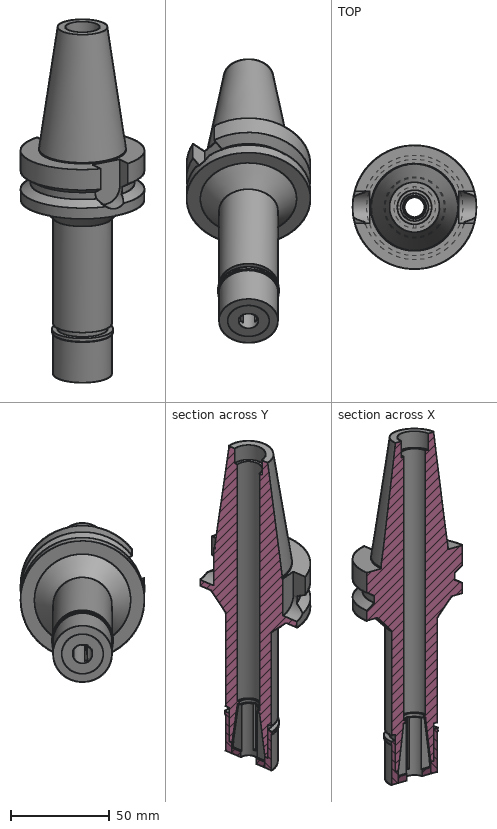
import cadquery as cq
import math

total_length = 185.4
taper_bottom_z = 120.0
flange_top_z = 119.4
flange_bottom_z = 93.0
nut_top_z = 24.0
neck_top_z = 26.9
neck_bottom_z = 6.5

taper_top_radius = 12.7
taper_large_radius = 22.2
relief_radius = 21.9
flange_radius = 31.5
groove_radius = 26.5
flange_cone_radius = 24.5
shank_radius = 15.0
neck_radius = 12.8

upper_rim_height = 11.0
lower_rim_height = 5.7
groove_flank_height = 3.0

drive_slot_width = 16.3
drive_slot_depth = 22.5
drive_slot_floor_x = 22.6

top_bore_radius = 8.7
top_bore_depth = 8.9
through_bore_radius = 7.0
stop_bore_radius = 6.0
stop_height = 1.9

collet_top_z = 31.5
collet_half_angle = 8.0
collet_bore_radius = 5.0
collet_slot_width = 1.5
collet_slot_count = 4
collet_slot_floor_z = 3.7

nut_radius = shank_radius
collar_radius = 15.5
collar_height = 1.7
collar_chamfer_height = collar_radius - nut_radius

collet_mouth_radius = through_bore_radius + (
    (collet_top_z - neck_bottom_z) * math.tan(math.radians(collet_half_angle))
)


def revolve_profile(points):
    """Turn a closed (radius, height) outline about the Z axis."""
    return cq.Workplane("XZ").polyline(points).close().revolve(360, (0, 0), (0, 1))


def make_drive_slot(side):
    """Cutter for one round-ended slot; side is -1 or 1 along X."""
    radius = drive_slot_width / 2
    arc_center_z = flange_top_z - drive_slot_depth + radius
    slot_length = flange_radius
    return (
        cq.Workplane("YZ", origin=(side * drive_slot_floor_x, 0, 0))
        .moveTo(-radius, taper_bottom_z)
        .lineTo(-radius, arc_center_z)
        .threePointArc((0, arc_center_z - radius), (radius, arc_center_z))
        .lineTo(radius, taper_bottom_z)
        .close()
        .extrude(side * slot_length)
    )


def make_holder():
    upper_rim_bottom_z = flange_top_z - upper_rim_height
    lower_rim_top_z = flange_bottom_z + lower_rim_height
    flange_cone_bottom_z = flange_bottom_z - (flange_cone_radius - shank_radius)
    top_bore_floor_z = total_length - top_bore_depth
    holder = revolve_profile([
        (top_bore_radius, total_length),
        (taper_top_radius, total_length),
        (taper_large_radius, taper_bottom_z),
        (relief_radius, taper_bottom_z),
        (relief_radius, flange_top_z),
        (flange_radius, flange_top_z),
        (flange_radius, upper_rim_bottom_z),
        (groove_radius, upper_rim_bottom_z - groove_flank_height),
        (groove_radius, lower_rim_top_z + groove_flank_height),
        (flange_radius, lower_rim_top_z),
        (flange_radius, flange_bottom_z),
        (flange_cone_radius, flange_bottom_z),
        (shank_radius, flange_cone_bottom_z),
        (shank_radius, neck_top_z),
        (neck_radius, neck_top_z),
        (neck_radius, neck_bottom_z),
        (collet_mouth_radius, neck_bottom_z),
        (through_bore_radius, collet_top_z),
        (stop_bore_radius, collet_top_z),
        (stop_bore_radius, collet_top_z + stop_height),
        (through_bore_radius, collet_top_z + stop_height),
        (through_bore_radius, top_bore_floor_z),
        (top_bore_radius, top_bore_floor_z),
    ])
    for side in (-1, 1):
        holder = holder.cut(make_drive_slot(side))
    return holder


def make_nut():
    collar_bottom_z = nut_top_z - collar_height
    return revolve_profile([
        (neck_radius, nut_top_z),
        (collar_radius, nut_top_z),
        (collar_radius, collar_bottom_z),
        (nut_radius, collar_bottom_z - collar_chamfer_height),
        (nut_radius, 0),
        (collet_mouth_radius, 0),
        (collet_mouth_radius, neck_bottom_z),
        (neck_radius, neck_bottom_z),
    ])


def make_collet():
    collet = revolve_profile([
        (collet_bore_radius, collet_top_z),
        (through_bore_radius, collet_top_z),
        (collet_mouth_radius, neck_bottom_z),
        (collet_mouth_radius, 0),
        (collet_bore_radius, 0),
    ])
    slot_length = collet_mouth_radius + collet_slot_width
    slot = cq.Workplane("XY", origin=(0, 0, collet_slot_floor_z)).box(
        slot_length, collet_slot_width, collet_top_z - collet_slot_floor_z, centered=(False, True, False)
    )
    for index in range(collet_slot_count):
        angle = index * 360 / collet_slot_count
        collet = collet.cut(slot.rotate((0, 0, 0), (0, 0, 1), angle))
    return collet


holder = make_holder()
nut = make_nut()
collet = make_collet()

result = cq.Compound.makeCompound([holder.val(), nut.val(), collet.val()])